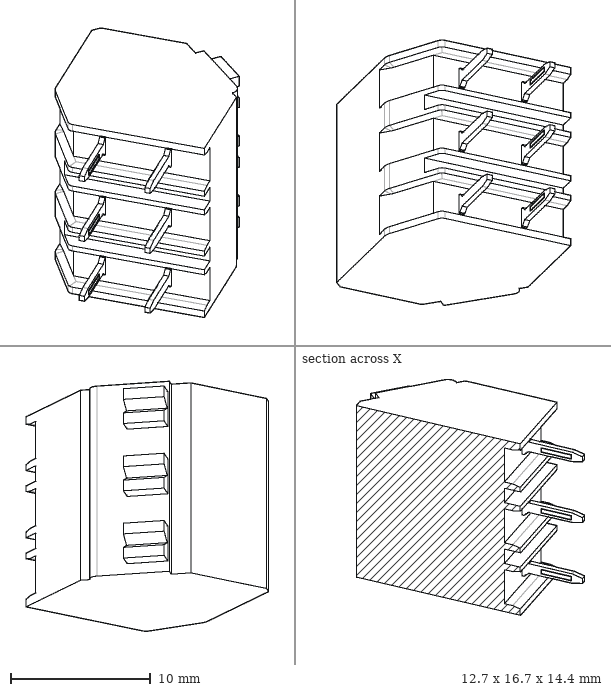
import cadquery as cq
import math

pole_count = 3
pole_pitch = 5.08
end_margin = 2.1
body_height = (pole_count - 1) * pole_pitch + 2 * end_margin
pole_heights = [(i - (pole_count - 1) / 2) * pole_pitch for i in range(pole_count)]
slot_heights = [z + pole_pitch / 2 for z in pole_heights[:-1]]

body_width = 12.7
body_depth = 12.91
back_chamfer = 0.52
diagonal_leg = 5.7
slant_width = 2.45
slant_depth = 4.09
slant_upper_radius = 1.0
slant_lower_radius = 0.5

strip_start = 1.43
strip_rise = 0.67
strip_end = 7.39

button_start = 1.54
button_length = 2.98
button_rise = 1.31
button_height = 2.63
button_groove_width = 1.02
button_groove_depth = 1.1

recess_depth = 1.25
recess_slant_start = 5.25
recess_opening = 3.08
recess_floor_height = 2.8
rib_bevel_rise = (recess_opening - recess_floor_height) / 2
rib_bevel_depth = 0.6
rib_back = 7.0
slot_height = 1.16

pin_positions = [(4.62, 1), (9.58, -1)]
pin_thickness = 0.4
pin_half_width = 0.4
pin_tip_half_width = 0.21
pin_tip_y = -3.5
pin_taper_y = -2.69
pin_flare_half_width = 0.74
pin_flare_start_y = 1.08
pin_flare_end_y = 0.72
pin_embedding = 0.5
bead_height = 0.34
bead_rise = 0.06
bead_start_y = -0.28
bead_end_y = -2.63


def diagonal_plane(z):
    """Plane with X along the diagonal face and Y pointing out of it."""
    origin = (body_width - diagonal_leg, body_depth, z)
    return cq.Workplane(cq.Plane(origin=origin, xDir=(1, -1, 0), normal=(0, 0, 1)))


def make_core():
    """Housing over its full height, with the recessed front everywhere."""
    slant_slope = slant_depth / slant_width
    floor_corner_x = (recess_slant_start - recess_depth) / slant_slope
    return (
        cq.Workplane("XY", origin=(0, 0, -body_height / 2))
        .moveTo(0, recess_slant_start)
        .lineTo(0, body_depth - back_chamfer)
        .lineTo(back_chamfer, body_depth)
        .lineTo(body_width - diagonal_leg, body_depth)
        .lineTo(body_width, body_depth - diagonal_leg)
        .lineTo(body_width, recess_depth)
        .lineTo(floor_corner_x, recess_depth)
        .close()
        .extrude(body_height)
    )


def make_strip():
    """Raised strip whose lower end is a quarter round."""
    arc_start = strip_end - strip_rise
    arc_step = strip_rise * math.sqrt(0.5)
    return (
        diagonal_plane(-body_height / 2)
        .moveTo(strip_start, -strip_rise)
        .lineTo(strip_start, strip_rise)
        .lineTo(arc_start, strip_rise)
        .threePointArc((arc_start + arc_step, arc_step), (strip_end, 0))
        .lineTo(arc_start, -strip_rise)
        .close()
        .extrude(body_height)
    )


def make_half_rib(height):
    """Front rib standing on the XY plane, bevelled around its upper face.

    It is built too wide and then trimmed, so that the bevel runs out through the +X side.
    """
    straight_height = height - rib_bevel_rise
    bevel_angle = math.degrees(math.atan2(rib_bevel_depth, rib_bevel_rise))
    untrimmed_width = body_width + 2 * rib_bevel_depth
    upper_corner = cq.NearestToPointSelector((0, slant_depth, straight_height / 2))
    lower_corner = cq.NearestToPointSelector((slant_width, 0, straight_height / 2))
    rib = (
        cq.Workplane("XY")
        .moveTo(0, rib_back)
        .lineTo(0, slant_depth)
        .lineTo(slant_width, 0)
        .lineTo(untrimmed_width, 0)
        .lineTo(untrimmed_width, rib_back)
        .close()
        .extrude(straight_height)
    )
    rib = rib.edges(upper_corner).fillet(slant_upper_radius)
    top_outline = rib.faces(">Z").wires().toPending().workplane()
    rib = top_outline.extrude(rib_bevel_rise, taper=bevel_angle)
    rib = rib.edges(lower_corner).fillet(slant_lower_radius)
    body_block = cq.Workplane("XY").rect(body_width, body_depth, centered=False).extrude(height)
    return rib.intersect(body_block)


def make_ribs():
    """End ribs bevelled on their inner side and middle ribs bevelled on both sides."""
    end_rib = make_half_rib(end_margin - recess_floor_height / 2)
    bottom_rib = end_rib.translate((0, 0, -body_height / 2))
    ribs = [bottom_rib, bottom_rib.mirror("XY")]
    half_rib = make_half_rib((pole_pitch - recess_floor_height) / 2)
    middle_rib = half_rib.union(half_rib.mirror("XY"))
    for z in slot_heights:
        ribs.append(middle_rib.translate((0, 0, z)))
    return ribs


def make_slot(z):
    """Cutter for the slot along the front of a rib, down to the recess floor."""
    return (
        cq.Workplane("XY", origin=(0, 0, z - slot_height / 2))
        .rect(body_width, recess_depth, centered=False)
        .extrude(slot_height)
    )


def make_button(z):
    """Push button on the diagonal face, with a V groove along its length."""
    base = -strip_rise / 2
    top = strip_rise + button_rise
    block = (
        diagonal_plane(z - button_height / 2)
        .moveTo(button_start, base)
        .rect(button_length, top - base, centered=False)
        .extrude(button_height)
    )
    groove_plane = cq.Plane(
        origin=diagonal_plane(z).plane.toWorldCoords((button_start, top)),
        xDir=(0, 0, 1),
        normal=(1, -1, 0),
    )
    groove = (
        cq.Workplane(groove_plane)
        .moveTo(-button_groove_width / 2, 0)
        .lineTo(0, button_groove_depth)
        .lineTo(button_groove_width / 2, 0)
        .close()
        .extrude(button_length)
    )
    return block.cut(groove)


def make_pin(x, bead_side, z):
    """Flat pin flared at its root and tapered at its tip, with a bead on one side."""
    right_profile = [
        (recess_depth + pin_embedding, pin_flare_half_width),
        (pin_flare_start_y, pin_flare_half_width),
        (pin_flare_end_y, pin_half_width),
        (pin_taper_y, pin_half_width),
        (pin_tip_y, pin_tip_half_width),
    ]
    left_profile = [(y, -half_width) for y, half_width in reversed(right_profile)]
    blade = (
        cq.Workplane("YZ", origin=(x - pin_thickness / 2, 0, z))
        .polyline(right_profile + left_profile)
        .close()
        .extrude(pin_thickness)
    )
    bead_center = (
        x + bead_side * pin_thickness / 2,
        (bead_start_y + bead_end_y) / 2,
        z,
    )
    bead = (
        cq.Workplane("XY")
        .box(2 * bead_rise, bead_start_y - bead_end_y, bead_height)
        .translate(bead_center)
    )
    return blade.union(bead)


result = make_core().union(make_strip())
for rib in make_ribs():
    result = result.union(rib)
for slot_z in slot_heights:
    result = result.cut(make_slot(slot_z))
for pole_z in pole_heights:
    result = result.union(make_button(pole_z))
    for pin_x, bead_side in pin_positions:
        result = result.union(make_pin(pin_x, bead_side, pole_z))